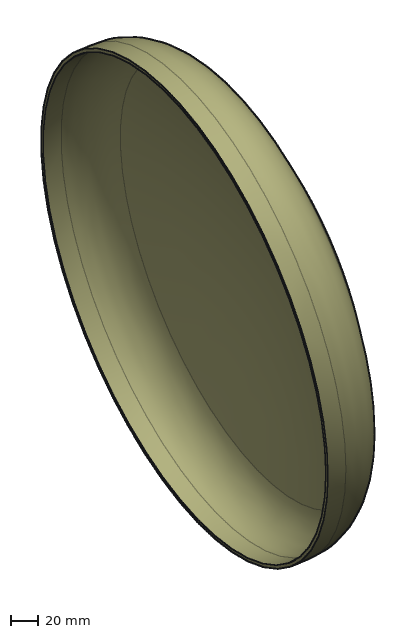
import cadquery as cq
import math

outer_diameter = 406.4
wall = 3.0
flange_height = 15.0
crown_radius = outer_diameter
knuckle_radius = 0.1 * outer_diameter

outer_radius = outer_diameter / 2
inner_radius = outer_radius - wall

knuckle_center_x = inner_radius - knuckle_radius
tangent_angle = math.asin(knuckle_center_x / (crown_radius - knuckle_radius))
crown_center_y = flange_height - (crown_radius - knuckle_radius) * math.cos(tangent_angle)


def crown_point(offset, angle):
    """Point on the crown, offset outward from the inside face, at an angle from the axis."""
    radius = crown_radius + offset
    return (radius * math.sin(angle), crown_center_y + radius * math.cos(angle))


def knuckle_point(offset, angle):
    """Point on the knuckle, offset outward from the inside face, at an angle from the axis."""
    radius = knuckle_radius + offset
    return (knuckle_center_x + radius * math.sin(angle), flange_height + radius * math.cos(angle))


def dished_end():
    """Revolve the half section of the shell about the Y axis, rim at Y = 0."""
    crown_middle = tangent_angle / 2
    knuckle_middle = (tangent_angle + math.pi / 2) / 2
    section = (
        cq.Workplane("XY")
        .moveTo(inner_radius, 0)
        .lineTo(outer_radius, 0)
        .lineTo(outer_radius, flange_height)
        .threePointArc(knuckle_point(wall, knuckle_middle), crown_point(wall, tangent_angle))
        .threePointArc(crown_point(wall, crown_middle), crown_point(wall, 0))
        .lineTo(*crown_point(0, 0))
        .threePointArc(crown_point(0, crown_middle), crown_point(0, tangent_angle))
        .threePointArc(knuckle_point(0, knuckle_middle), (inner_radius, flange_height))
        .close()
    )
    return section.revolve(360, (0, 0, 0), (0, 1, 0))


result = dished_end()